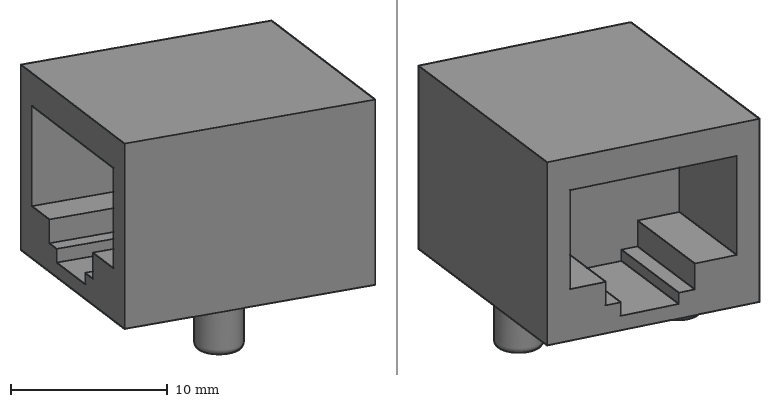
import cadquery as cq

width = 15.3
depth = 17.74
total_height = 15.95
pin_length = 3.25
body_height = total_height - pin_length

opening_width = 12.0
opening_top = 10.45
shoulder_z = 3.58
left_ledge_z = 1.95
right_ledge_z = 1.8
channel_floor_z = 1.01
left_shoulder_x = -3.42
right_shoulder_x = 2.98
left_channel_x = -2.35
right_channel_x = 1.83
opening_depth = 7.9

pin_diameter = 3.2
pin_spacing = 11.42
pin_from_front = 7.61
pin_tip_radius = 0.45


def make_housing():
    return cq.Workplane("XY").box(width, depth, body_height, centered=(True, True, False))


def make_opening():
    """Stepped plug cavity, extending backwards from the front face."""
    half_opening = opening_width / 2
    profile = [
        (-half_opening, opening_top),
        (-half_opening, shoulder_z),
        (left_shoulder_x, shoulder_z),
        (left_shoulder_x, left_ledge_z),
        (left_channel_x, left_ledge_z),
        (left_channel_x, channel_floor_z),
        (right_channel_x, channel_floor_z),
        (right_channel_x, right_ledge_z),
        (right_shoulder_x, right_ledge_z),
        (right_shoulder_x, shoulder_z),
        (half_opening, shoulder_z),
        (half_opening, opening_top),
    ]
    front_plane = cq.Workplane("XZ", origin=(0, -depth / 2, 0))
    return front_plane.polyline(profile).close().extrude(-opening_depth)


def make_pin(x):
    """Downward pin with a rounded tip."""
    pin = (
        cq.Workplane("XY", origin=(x, pin_from_front - depth / 2, 0))
        .circle(pin_diameter / 2)
        .extrude(-pin_length)
    )
    return pin.faces("<Z").edges().fillet(pin_tip_radius)


result = make_housing().cut(make_opening())
for side in (-1, 1):
    result = result.union(make_pin(side * pin_spacing / 2))